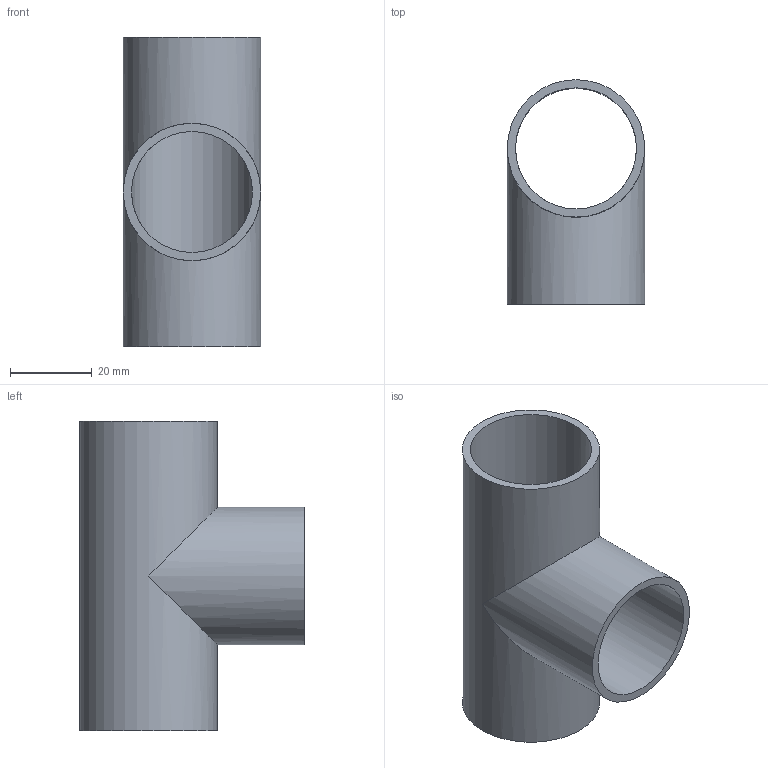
import cadquery as cq

outer_diameter = 33.7
wall_thickness = 2.0
run_length = 76.0
overall_depth = 55.0

outer_radius = outer_diameter / 2
inner_radius = outer_radius - wall_thickness
branch_reach = overall_depth - outer_radius


def tee_body(radius):
    """Solid tee of two equal cylinders meeting at the origin."""
    run = cq.Workplane("XY").circle(radius).extrude(run_length / 2, both=True)
    branch = cq.Workplane("XZ").circle(radius).extrude(branch_reach)
    return run.union(branch)


result = tee_body(outer_radius).cut(tee_body(inner_radius))